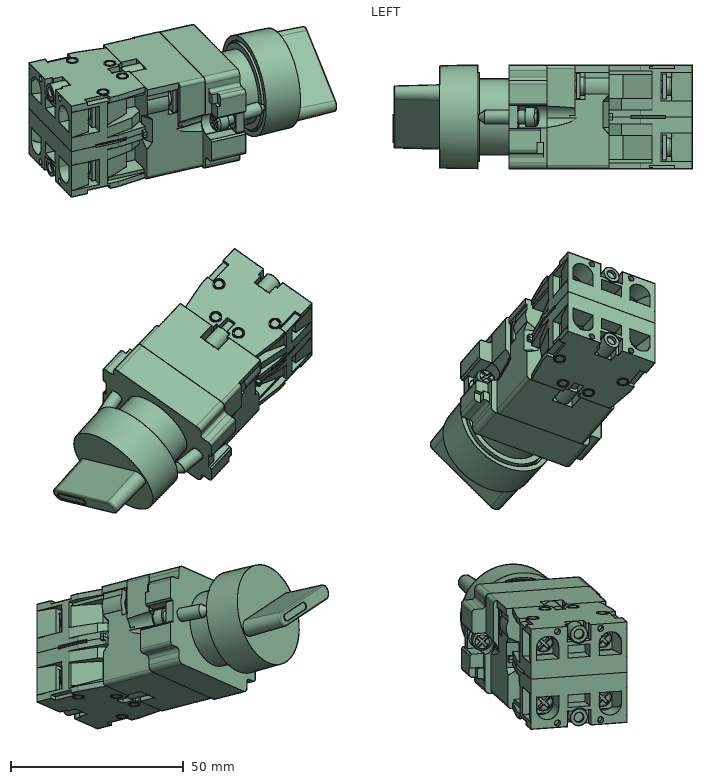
import cadquery as cq
import math


TERMINAL_FACE = 0.0
HOUSING_REAR = 24.1
WIDE_BLOCK_REAR = 34.0
FLANGE_REAR = 42.0
FLANGE_FRONT = 53.0
GASKET_REAR = 61.5
BEZEL_REAR = 62.0
BEZEL_FRONT = 73.1
KNOB_TIP = 86.2
MARK_TOP = 86.5

HEIGHT = 30.0
HALF_HEIGHT = HEIGHT / 2
BODY_HALF_WIDTH = 14.45
CUT_MARGIN = 0.9

BEZEL_FRONT_RADIUS = 14.8
BEZEL_MID_RADIUS = 15.0
GASKET_RADIUS = 12.9
GASKET_GROOVE_RADIUS = 13.5
GASKET_GROOVE_DEPTH = 0.7
NECK_RADIUS = 11.1
KNOB_LENGTH = 27.85
KNOB_THICKNESS = 4.3
KNOB_ANGLE = -35.5
KNOB_DRAFT = 1.5
KNOB_EDGE_RADIUS = 0.35
MARK_LENGTH = 12.4
MARK_WIDTH = 2.2
MARK_CENTER_OFFSET = 5.7

FLANGE_HALF_WIDTH = 16.3
FLANGE_CORNER_RADIUS = 1.65
WING_HALF_SPAN = 20.2
WING_TOP = 10.55
WING_BOTTOM = 3.3
WING_RADIUS = 1.0
WING_CHAMFER = 0.5
WEB_HALF_SPAN = 19.1
WEB_REAR = 50.4
SHORT_WING_REAR = 43.9
SHORT_WING_INNER_REAR = 43.1
SHORT_WING_OUTER_REAR = 45.0
SHORT_WING_STEP_X = 18.25
SHORT_WING_STEP_Z = 7.4

CLAMP_TILT = 8.2
CLAMP_HEAD_X = 16.35
CLAMP_HEAD_Y = 44.6
CLAMP_HEAD_RADIUS = 2.8
CLAMP_HEAD_LENGTH = 3.5
CLAMP_DOME = 0.7
CLAMP_SHANK_RADIUS = 2.0
CLAMP_SHANK_END = 15.4
CLAMP_TIP_RADIUS = 0.8
CLAMP_LENGTH = 17.2
CLAMP_CLEARANCE_RADIUS = 3.2
LOWER_CLEARANCE_RADIUS = 4.5
LOWER_CLEARANCE_SHIFT = 1.0
CROSS_WIDTH = 0.9
CROSS_DEPTH = 0.7

WIDE_BLOCK_HALF_WIDTH = 16.0
WIDE_BLOCK_BOTTOM = 0.35
OVERHANG_HALF_WIDTH = 15.0
OVERHANG_BOTTOM = 12.9
HOUSING_EDGE_RADIUS = 1.0
SIDE_SCREW_X = 10.8
SIDE_SCREW_Z = 8.9
SIDE_POCKET_FRONT = 33.9
SIDE_POCKET_REAR = 31.0
SIDE_POCKET_BOTTOM = 5.0
SIDE_POCKET_INNER_X = 7.1
SIDE_BULGE_RADIUS = 5.5
RELIEF_DEPTH = 3.55
RELIEF_FRONT = 25.9
RELIEF_INNER_Z = (-3.0, 4.5)
RELIEF_OUTER_Z = (-5.0, 6.3)

JOINT_SCREW_Z = 12.45
JOINT_TUBE_RADIUS = 2.5
JOINT_TUBE_FRONT = 29.15
JOINT_TUBE_REAR = 22.8
JOINT_SHANK_RADIUS = 1.5
JOINT_SHANK_REAR = 19.2
JOINT_SLOT_HALF_WIDTH = 3.3
JOINT_SLOT_BOTTOM = 9.5

NOSE_HALF_WIDTH = 13.1
TAPER_REAR = 15.0
LATCH_LENGTH = 1.0
LATCH_HEIGHT = 0.95
SIDE_BAY_REAR = 11.6
BAY_BOTTOM = 2.0
SHELF_TOP = 5.4
BAY_CEILING = 12.3
BAY_TOP = 13.3
BAY_INNER_X = 6.5
BAY_BEND_X = 9.25
BAY_OUTER_X = 13.5
BAY_BEND_Y = 20.0
LEDGE_INNER_X = 12.6
SHELF_NOSE_X = 9.5
SHELF_BEND_X = 12.3
SHELF_BEND_Y = 20.4
WIRE_HOLE_X = 9.4
WIRE_HOLE_WIDTH = 6.7
WIRE_HOLE_RADIUS = WIRE_HOLE_WIDTH / 2
WIRE_HOLE_Z = 9.1
WIRE_HOLE_BOTTOM = 5.5
WIRE_HOLE_DEEP_X = 11.6
CHAMBER_FRONT = 9.0
CHAMBER_REAR = 6.0
CHAMBER_BOTTOM = 4.6
CHAMBER_TOP = 12.9
CHAMBER_INNER_X = 5.0
WINDOW_DEPTH = 1.2
TERMINAL_SCREW_X = 8.8
TERMINAL_SCREW_Z = 8.8
REAR_SLOT_HALF_WIDTH = 3.55
REAR_SLOT_BOTTOM = 10.4
REAR_SLOT_DEPTH = 2.3
REAR_CHANNEL_HALF_WIDTH = 2.8
REAR_CHANNEL_DEPTH = 5.2
REAR_SCREW_RECESS_RADIUS = 1.5
REAR_SCREW_RECESS_DEPTH = 0.9
REAR_CHANNEL_RADIUS = 2.8
LABEL_POCKET_HALF_WIDTH = 3.3
LABEL_POCKET_BOTTOM = 5.5
LABEL_POCKET_TOP = 9.25
LABEL_POCKET_DEPTH = 5.2
PIN_HOLE_X = 6.5
PIN_HOLE_Z = 13.7
PIN_HOLE_RADIUS = 0.9
PIN_HOLE_DEPTH = 1.7
RING_OUTER_RADIUS = 1.7
RING_INNER_RADIUS = 1.3
RING_DEPTH = 0.4
RING_CENTERS = [(4.2, 21.1), (10.5, 12.0)]
CORNER_NOTCH_WIDTH = 2.1
CORNER_NOTCH_DEPTH = 1.0
CORNER_NOTCH_REAR = 5.2
CORNER_NOTCH_FRONT = 12.4
SEAM_SLOT_REAR = 7.8
SEAM_SLOT_FRONT = 17.7
SEAM_SLOT_HEIGHT = 0.4
SEAM_SLOT_DEPTH = 0.9

PLATE_HALF_SIZE = 3.6
PLATE_THICKNESS = 1.0
SCREW_STEM_RADIUS = 1.7
SCREW_STEM_LENGTH = 0.4
SCREW_HEAD_RADIUS = 2.7
SCREW_HEAD_HEIGHT = 1.6
SCREW_HEAD_FILLET = 0.6



def block(x_range, y_range, z_range):
    """Box spanning the given ranges."""
    sizes = [high - low for low, high in (x_range, y_range, z_range)]
    corner = cq.Vector(x_range[0], y_range[0], z_range[0])
    return cq.Workplane(cq.Solid.makeBox(*sizes, corner))


def rod(x, z, radius, y_start, y_end):
    """Cylinder along Y."""
    return cq.Workplane("XZ", origin=(x, y_end, z)).circle(radius).extrude(y_end - y_start)


def plan_prism(points, z_low, z_high):
    """Prism along Z over an XY outline."""
    return cq.Workplane("XY", origin=(0, 0, z_low)).polyline(points).close().extrude(z_high - z_low)


def spin(points):
    """Solid of revolution about Y from (radius, y) points."""
    return cq.Workplane("XY").polyline(points).close().revolve(360, (0, 0, 0), (0, 1, 0))


def left_and_right(shape):
    """The shape together with its mirror image across X = 0."""
    return shape.union(shape.mirror("YZ"))


def top_and_bottom(shape):
    """The shape together with its mirror image across Z = 0."""
    return shape.union(shape.mirror("XY"))


def cross_recess(half_length):
    """Diagonal cross cutter whose open side lies at Y = 0."""
    bar = block((-half_length, half_length), (-CUT_MARGIN, CROSS_DEPTH), (-CROSS_WIDTH / 2, CROSS_WIDTH / 2))
    cross = bar.union(bar.rotate((0, 0, 0), (0, 1, 0), 90))
    return cross.rotate((0, 0, 0), (0, 1, 0), 45)


def plate_screw(x, z, seat_y):
    """Wire-clamp screw standing on a face at seat_y, head towards -Y."""
    plate_front = seat_y - SCREW_STEM_LENGTH
    head_front = plate_front - PLATE_THICKNESS
    head_rear = head_front - SCREW_HEAD_HEIGHT
    head = rod(0, 0, SCREW_HEAD_RADIUS, head_rear, head_front).faces("<Y").edges().fillet(SCREW_HEAD_FILLET)
    head = head.cut(cross_recess(SCREW_HEAD_RADIUS - SCREW_HEAD_FILLET).translate((0, head_rear, 0)))
    plate = block(
        (-PLATE_HALF_SIZE, PLATE_HALF_SIZE), (head_front, plate_front), (-PLATE_HALF_SIZE, PLATE_HALF_SIZE)
    )
    stem = rod(0, 0, SCREW_STEM_RADIUS, plate_front, seat_y)
    return stem.union(plate).union(head).translate((x, 0, z))


def along_clamp_axis(shape):
    """Move a shape built along Y onto the axis of the left clamp screw."""
    return shape.rotate((0, 0, 0), (0, 0, 1), -CLAMP_TILT).translate((-CLAMP_HEAD_X, CLAMP_HEAD_Y, 0))


def clamp_clearance():
    """Driver access bores around both clamp screws, open towards -Y."""
    front = (WEB_REAR - CLAMP_HEAD_Y) / math.cos(math.radians(CLAMP_TILT))
    rear = (HOUSING_REAR - CLAMP_HEAD_Y) / math.cos(math.radians(CLAMP_TILT))
    return left_and_right(along_clamp_axis(rod(0, 0, CLAMP_CLEARANCE_RADIUS, rear, front)))


def lower_clearance():
    """Flatter grooves that widen the lower half of the driver access in the housing."""
    rear = HOUSING_REAR - CLAMP_HEAD_Y
    groove = along_clamp_axis(rod(-LOWER_CLEARANCE_SHIFT, 0, LOWER_CLEARANCE_RADIUS, rear, 0))
    lower_half = block(
        (-WING_HALF_SPAN, 0), (HOUSING_REAR, FLANGE_REAR), (-LOWER_CLEARANCE_RADIUS, -WIDE_BLOCK_BOTTOM)
    )
    return left_and_right(groove.intersect(lower_half))


def joining_screws():
    """Stepped screws at top and bottom that reach from the housing into the contact blocks."""
    tube = rod(0, JOINT_SCREW_Z, JOINT_TUBE_RADIUS, JOINT_TUBE_REAR, JOINT_TUBE_FRONT)
    shank = rod(0, JOINT_SCREW_Z, JOINT_SHANK_RADIUS, JOINT_SHANK_REAR, JOINT_TUBE_REAR)
    return top_and_bottom(tube.union(shank))



def make_head():
    turned = (
        cq.Workplane("YZ")
        .moveTo(FLANGE_FRONT, 0)
        .lineTo(FLANGE_FRONT, NECK_RADIUS)
        .lineTo(GASKET_REAR, NECK_RADIUS)
        .lineTo(GASKET_REAR, GASKET_RADIUS)
        .lineTo(BEZEL_REAR + GASKET_GROOVE_DEPTH, GASKET_RADIUS)
        .lineTo(BEZEL_REAR + GASKET_GROOVE_DEPTH, GASKET_GROOVE_RADIUS)
        .lineTo(BEZEL_REAR, GASKET_GROOVE_RADIUS)
        .lineTo(BEZEL_REAR, HALF_HEIGHT)
        .threePointArc(
            ((BEZEL_REAR + BEZEL_FRONT) / 2, BEZEL_MID_RADIUS),
            (BEZEL_FRONT, BEZEL_FRONT_RADIUS),
        )
        .lineTo(BEZEL_FRONT, 0)
        .close()
        .revolve(360, (0, 0, 0), (1, 0, 0))
    )
    knob = (
        cq.Workplane("XZ", origin=(0, KNOB_TIP, 0))
        .slot2D(KNOB_LENGTH, KNOB_THICKNESS, KNOB_ANGLE)
        .extrude(KNOB_TIP - BEZEL_FRONT, taper=-KNOB_DRAFT)
        .faces(">Y")
        .edges()
        .fillet(KNOB_EDGE_RADIUS)
    )
    angle = math.radians(KNOB_ANGLE)
    mark = (
        cq.Workplane("XZ", origin=(0, MARK_TOP, 0))
        .center(MARK_CENTER_OFFSET * math.cos(angle), MARK_CENTER_OFFSET * math.sin(angle))
        .slot2D(MARK_LENGTH, MARK_WIDTH, KNOB_ANGLE)
        .extrude(MARK_TOP - KNOB_TIP)
    )
    return turned.union(knob).union(mark)



def make_clamp_screw():
    screw = spin([
        (0, 0),
        (CLAMP_HEAD_RADIUS - CLAMP_DOME, 0),
        (CLAMP_HEAD_RADIUS, CLAMP_DOME),
        (CLAMP_HEAD_RADIUS, CLAMP_HEAD_LENGTH),
        (CLAMP_SHANK_RADIUS, CLAMP_HEAD_LENGTH),
        (CLAMP_SHANK_RADIUS, CLAMP_SHANK_END),
        (CLAMP_TIP_RADIUS, CLAMP_LENGTH),
        (0, CLAMP_LENGTH),
    ])
    return along_clamp_axis(screw.cut(cross_recess(CLAMP_HEAD_RADIUS - CLAMP_DOME)))


def short_wing_cut():
    """Stepped cut at the rear of the upper right wing."""
    x_out = WING_HALF_SPAN + CUT_MARGIN
    z_out = WING_TOP + WING_RADIUS
    z_low = WING_BOTTOM - CUT_MARGIN
    main = block((FLANGE_HALF_WIDTH, x_out), (FLANGE_REAR, SHORT_WING_REAR), (z_low, SHORT_WING_STEP_Z))
    inner = block(
        (FLANGE_HALF_WIDTH, SHORT_WING_STEP_X),
        (FLANGE_REAR, SHORT_WING_INNER_REAR),
        (SHORT_WING_STEP_Z, z_out),
    )
    outer = block(
        (SHORT_WING_STEP_X, x_out), (FLANGE_REAR, SHORT_WING_OUTER_REAR), (SHORT_WING_STEP_Z, z_out)
    )
    return main.union(inner).union(outer)


def make_flange():
    y_range = (FLANGE_REAR, FLANGE_FRONT)
    core = block((-FLANGE_HALF_WIDTH, FLANGE_HALF_WIDTH), y_range, (-HALF_HEIGHT, HALF_HEIGHT))
    core = core.edges("|Y").fillet(FLANGE_CORNER_RADIUS)

    wing = block((0, WING_HALF_SPAN), y_range, (WING_BOTTOM, WING_TOP))
    wing = wing.edges("|Y and >X and >Z").fillet(WING_RADIUS)
    wing = wing.edges("|Y and >X and <Z").chamfer(WING_CHAMFER)
    strip_x = FLANGE_HALF_WIDTH + WING_RADIUS
    strip = block((0, strip_x), y_range, (WING_TOP, WING_TOP + WING_RADIUS))
    strip = strip.cut(rod(strip_x, WING_TOP + WING_RADIUS, WING_RADIUS, *y_range))
    wings = top_and_bottom(left_and_right(wing.union(strip)))
    web = block((-WEB_HALF_SPAN, WEB_HALF_SPAN), (WEB_REAR, FLANGE_FRONT), (-WING_BOTTOM, WING_BOTTOM))

    flange = core.union(wings).union(web).cut(clamp_clearance())
    step = short_wing_cut()
    flange = flange.cut(step).cut(step.rotate((0, 0, 0), (0, 1, 0), 180))
    return flange.union(left_and_right(make_clamp_screw()))



def latch_relief():
    """Sloped relief at the rear left edge of the housing, as a closed five-sided body."""
    deep_x = BODY_HALF_WIDTH - RELIEF_DEPTH
    ends = []
    for inner_z, outer_z in zip(RELIEF_INNER_Z, RELIEF_OUTER_Z):
        ends.append([
            cq.Vector(-BODY_HALF_WIDTH, RELIEF_FRONT, inner_z),
            cq.Vector(-BODY_HALF_WIDTH, HOUSING_REAR, outer_z),
            cq.Vector(-deep_x, HOUSING_REAR, inner_z),
        ])
    low, high = ends
    outlines = [low, high]
    for i in range(3):
        j = (i + 1) % 3
        outlines.append([low[i], low[j], high[j], high[i]])
    wires = [cq.Wire.makePolygon(points, close=True) for points in outlines]
    faces = [cq.Face.makeFromWires(wire) for wire in wires]
    return cq.Workplane(cq.Solid.makeSolid(cq.Shell.makeShell(faces)))


def side_bulge():
    """Shallow round bulge on the left side face, behind the side screw pocket."""
    bulge_x = -(OVERHANG_HALF_WIDTH - SIDE_BULGE_RADIUS)
    cylinder = rod(bulge_x, SIDE_SCREW_Z, SIDE_BULGE_RADIUS, HOUSING_REAR, SIDE_POCKET_REAR)
    segment = block(
        (-OVERHANG_HALF_WIDTH, -BODY_HALF_WIDTH + CUT_MARGIN),
        (HOUSING_REAR, SIDE_POCKET_REAR),
        (SIDE_POCKET_BOTTOM, OVERHANG_BOTTOM),
    )
    return cylinder.intersect(segment)


def side_screw_pocket():
    """Pocket for the left side screw."""
    return block(
        (-BODY_HALF_WIDTH, -SIDE_POCKET_INNER_X),
        (SIDE_POCKET_REAR, SIDE_POCKET_FRONT),
        (SIDE_POCKET_BOTTOM, OVERHANG_BOTTOM),
    )


def make_housing():
    body = block(
        (-BODY_HALF_WIDTH, BODY_HALF_WIDTH), (HOUSING_REAR, FLANGE_REAR), (-HALF_HEIGHT, HALF_HEIGHT)
    ).edges("|Y and <Z").fillet(HOUSING_EDGE_RADIUS)
    wide_block = block(
        (-WIDE_BLOCK_HALF_WIDTH, WIDE_BLOCK_HALF_WIDTH),
        (WIDE_BLOCK_REAR, FLANGE_REAR),
        (WIDE_BLOCK_BOTTOM, HALF_HEIGHT),
    ).edges("|Y and >Z").fillet(HOUSING_EDGE_RADIUS)
    overhang = block(
        (-OVERHANG_HALF_WIDTH, OVERHANG_HALF_WIDTH),
        (HOUSING_REAR, WIDE_BLOCK_REAR),
        (OVERHANG_BOTTOM, HALF_HEIGHT),
    )
    housing = body.union(wide_block).union(overhang).union(left_and_right(side_bulge()))
    housing = housing.cut(clamp_clearance()).cut(lower_clearance())
    housing = housing.cut(left_and_right(side_screw_pocket()))
    housing = housing.cut(left_and_right(latch_relief()))
    joint_slot = block(
        (-JOINT_SLOT_HALF_WIDTH, JOINT_SLOT_HALF_WIDTH),
        (HOUSING_REAR, JOINT_TUBE_FRONT),
        (JOINT_SLOT_BOTTOM, HALF_HEIGHT),
    )
    housing = housing.cut(top_and_bottom(joint_slot))
    side_screw = plate_screw(-SIDE_SCREW_X, SIDE_SCREW_Z, SIDE_POCKET_FRONT)
    return housing.union(left_and_right(side_screw)).union(joining_screws())



def side_bay():
    """Stepped wire bay in the left side of the upper contact block."""
    outside = -(BODY_HALF_WIDTH + CUT_MARGIN)
    deep = plan_prism(
        [
            (outside, HOUSING_REAR),
            (-BAY_INNER_X, HOUSING_REAR),
            (-BAY_INNER_X, BAY_BEND_Y),
            (-BAY_BEND_X, BAY_BEND_Y),
            (-BAY_OUTER_X, SIDE_BAY_REAR),
            (outside, SIDE_BAY_REAR),
        ],
        SHELF_TOP,
        BAY_CEILING,
    )
    shelf_outline = [
        (outside, HOUSING_REAR),
        (-SHELF_NOSE_X, HOUSING_REAR),
        (-SHELF_BEND_X, SHELF_BEND_Y),
        (-BODY_HALF_WIDTH, SIDE_BAY_REAR),
        (outside, SIDE_BAY_REAR),
    ]
    shelf = plan_prism(shelf_outline, BAY_BOTTOM, SHELF_TOP)
    ledge = block((outside, -LEDGE_INNER_X), (SIDE_BAY_REAR, HOUSING_REAR), (BAY_CEILING, BAY_TOP))
    return deep.union(shelf).union(ledge)


def wire_entry():
    """Left wire hole in the terminal face, its screw chamber and the sloped side window."""
    left = -(WIRE_HOLE_X + WIRE_HOLE_RADIUS)
    right = -(WIRE_HOLE_X - WIRE_HOLE_RADIUS)
    hole = (
        cq.Workplane("XZ", origin=(0, CHAMBER_FRONT, 0))
        .moveTo(left, WIRE_HOLE_BOTTOM)
        .lineTo(right, WIRE_HOLE_BOTTOM)
        .lineTo(right, WIRE_HOLE_Z)
        .threePointArc((-WIRE_HOLE_X, WIRE_HOLE_Z + WIRE_HOLE_RADIUS), (left, WIRE_HOLE_Z))
        .close()
        .extrude(CHAMBER_FRONT - TERMINAL_FACE)
    )
    sloped_wall = plan_prism(
        [(left, TERMINAL_FACE), (-WIRE_HOLE_DEEP_X, CHAMBER_REAR), (left, CHAMBER_REAR)],
        CHAMBER_BOTTOM,
        CHAMBER_TOP,
    )
    chamber = block(
        (-BODY_HALF_WIDTH, -CHAMBER_INNER_X), (CHAMBER_REAR, CHAMBER_FRONT), (CHAMBER_BOTTOM, CHAMBER_TOP)
    )
    window = plan_prism(
        [
            (-BODY_HALF_WIDTH, TERMINAL_FACE),
            (-BODY_HALF_WIDTH + WINDOW_DEPTH, CHAMBER_REAR),
            (-BODY_HALF_WIDTH, CHAMBER_REAR),
        ],
        CHAMBER_BOTTOM,
        CHAMBER_TOP,
    )
    return hole.cut(sloped_wall).union(chamber).union(window)


def rear_slot():
    """Stepped slot for the screw at the middle of the terminal face."""
    mouth = block(
        (-REAR_SLOT_HALF_WIDTH, REAR_SLOT_HALF_WIDTH),
        (TERMINAL_FACE, REAR_SLOT_DEPTH),
        (REAR_SLOT_BOTTOM, HALF_HEIGHT),
    )
    channel = block(
        (-REAR_CHANNEL_HALF_WIDTH, REAR_CHANNEL_HALF_WIDTH),
        (TERMINAL_FACE, REAR_CHANNEL_DEPTH),
        (JOINT_SCREW_Z, HALF_HEIGHT),
    )
    round_floor = rod(0, JOINT_SCREW_Z, REAR_CHANNEL_RADIUS, TERMINAL_FACE, REAR_CHANNEL_DEPTH)
    return mouth.union(channel).union(round_floor)


def rear_screw():
    screw = rod(0, JOINT_SCREW_Z, JOINT_TUBE_RADIUS, TERMINAL_FACE, REAR_CHANNEL_DEPTH)
    recess = rod(0, JOINT_SCREW_Z, REAR_SCREW_RECESS_RADIUS, TERMINAL_FACE, REAR_SCREW_RECESS_DEPTH)
    return screw.cut(recess)


def joint_channel():
    """Open channel that receives the rear end of a joining screw."""
    channel = joining_screws()
    for radius, rear in ((JOINT_TUBE_RADIUS, JOINT_TUBE_REAR), (JOINT_SHANK_RADIUS, JOINT_SHANK_REAR)):
        channel = channel.union(block((-radius, radius), (rear, HOUSING_REAR), (JOINT_SCREW_Z, HALF_HEIGHT)))
    return channel


def top_rings():
    """Ring grooves in the top face."""
    rings = cq.Workplane("XY", origin=(0, 0, HALF_HEIGHT - RING_DEPTH))
    centers = [(side * x, y) for x, y in RING_CENTERS for side in (-1, 1)]
    return rings.pushPoints(centers).circle(RING_OUTER_RADIUS).circle(RING_INNER_RADIUS).extrude(RING_DEPTH)


def make_upper_contact_block():
    outline = [
        (-BODY_HALF_WIDTH, TERMINAL_FACE),
        (BODY_HALF_WIDTH, TERMINAL_FACE),
        (BODY_HALF_WIDTH, TAPER_REAR),
        (NOSE_HALF_WIDTH, HOUSING_REAR),
        (-NOSE_HALF_WIDTH, HOUSING_REAR),
        (-BODY_HALF_WIDTH, TAPER_REAR),
    ]
    contact = plan_prism(outline, 0, HALF_HEIGHT)
    contact = contact.cut(left_and_right(side_bay().union(wire_entry())))
    latch = block(
        (-BODY_HALF_WIDTH, BODY_HALF_WIDTH), (HOUSING_REAR - LATCH_LENGTH, HOUSING_REAR), (0, LATCH_HEIGHT)
    )
    contact = contact.union(latch)

    corner_notch = block(
        (-BODY_HALF_WIDTH, -BODY_HALF_WIDTH + CORNER_NOTCH_WIDTH),
        (CORNER_NOTCH_REAR, CORNER_NOTCH_FRONT),
        (HALF_HEIGHT - CORNER_NOTCH_DEPTH, HALF_HEIGHT),
    )
    seam_slot = block(
        (-BODY_HALF_WIDTH, -BODY_HALF_WIDTH + SEAM_SLOT_DEPTH),
        (SEAM_SLOT_REAR, SEAM_SLOT_FRONT),
        (0, SEAM_SLOT_HEIGHT),
    )
    pin_hole = rod(-PIN_HOLE_X, PIN_HOLE_Z, PIN_HOLE_RADIUS, TERMINAL_FACE, PIN_HOLE_DEPTH)
    for cutter in (corner_notch, seam_slot, pin_hole):
        contact = contact.cut(left_and_right(cutter))

    label_pocket = block(
        (-LABEL_POCKET_HALF_WIDTH, LABEL_POCKET_HALF_WIDTH),
        (TERMINAL_FACE, LABEL_POCKET_DEPTH),
        (LABEL_POCKET_BOTTOM, LABEL_POCKET_TOP),
    )
    for cutter in (top_rings(), label_pocket, rear_slot(), joint_channel()):
        contact = contact.cut(cutter)
    terminal_screw = plate_screw(-TERMINAL_SCREW_X, TERMINAL_SCREW_Z, CHAMBER_FRONT)
    return contact.union(left_and_right(terminal_screw)).union(rear_screw())



head = make_head()
flange = make_flange()
housing = make_housing()
upper_contact_block = make_upper_contact_block()
contact_blocks = [upper_contact_block, upper_contact_block.mirror("XY")]

bodies = [head, flange, housing, *contact_blocks]
result = cq.Compound.makeCompound([body.solids().val() for body in bodies])